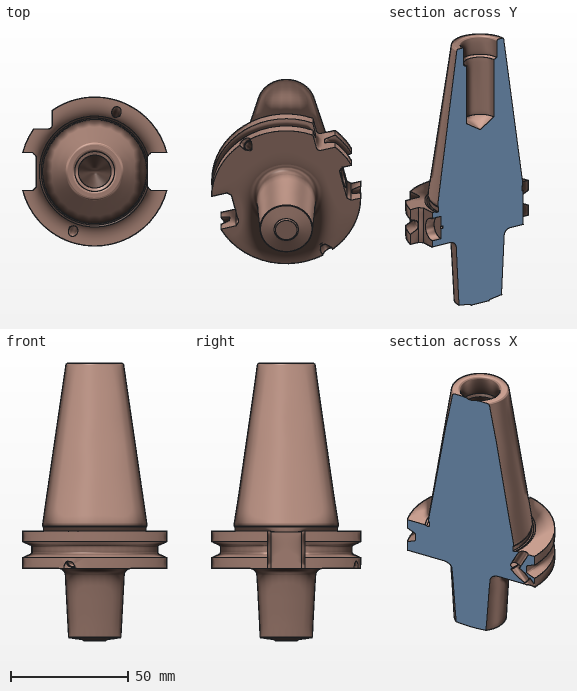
import cadquery as cq
import math


gauge_radius = 44.45 / 2
taper_length = 68.4
taper_ratio = 7 / 24
taper_end_round = 1.1
taper_end_radius = gauge_radius - taper_length * taper_ratio / 2

land_length = 1.0
neck_radius = 21.9
neck_chamfer_height = 0.5
relief_depth = 0.4
relief_slope_width = 0.85
relief_outer_radius = 23.65

flange_radius = 63.55 / 2
flange_top = -3.2
flange_bottom = -19.1
flange_height = flange_top - flange_bottom
groove_center = -11.1
groove_rim_width = 6.8
groove_floor_width = 3.4
groove_floor_radius = 28.05
groove_fillet = 0.9

nose_tip_radius = 11.2
nose_draft = 3.0
nose_fillet = 3.0
nose_edge_z = -48.4
nose_edge_chamfer = 0.25
nose_end_z = -50.0
nose_length = flange_bottom - nose_edge_z
nose_top_radius = nose_tip_radius + nose_length * math.tan(math.radians(nose_draft))
tip_rim_radius = 5.2
tip_rim_z = -49.5
tip_face_radius = 4.6

counterbore_radius = 8.5
counterbore_depth = 8.2
bore_mouth_round = 1.0
thread_bore_radius = 7.0
thread_bore_depth = 35.0
drill_point_angle = 118.0
counterbore_floor_angle = 130.0

slot_width = 16.1
left_slot_floor = 25.0
right_slot_floor = 22.5
slot_corner_chamfer = 1.5

notch_x = -18.2
notch_y = 18.2
notch_fillet = 1.6

chip_radius = 5.0
chip_depth = 4.5
chip_center_hole_radius = 0.4
chip_center_hole_depth = 1.0

channel_azimuth = 20.0
inlet_radius = 2.0
inlet_pitch_radius = 27.0
inlet_tilt = 30.0
cross_hole_radius = 2.0
plug_seat_radius = 2.5
plug_seat_reach = 3.5
cross_hole_rise = 35.0

selection_margin = 0.1
outside_clearance = 1.0


def make_turned_body():
    """Revolve the whole outer profile except the groove and the bore."""
    relief_inner_radius = relief_outer_radius - relief_slope_width
    profile = (
        cq.Workplane("XZ")
        .moveTo(0, taper_length)
        .lineTo(taper_end_radius, taper_length)
        .lineTo(gauge_radius, 0)
        .lineTo(gauge_radius, -land_length)
        .lineTo(neck_radius, -land_length - neck_chamfer_height)
        .lineTo(neck_radius, flange_top - relief_depth)
        .lineTo(relief_inner_radius, flange_top - relief_depth)
        .lineTo(relief_outer_radius, flange_top)
        .lineTo(flange_radius, flange_top)
        .lineTo(flange_radius, flange_bottom)
        .lineTo(nose_top_radius, flange_bottom)
        .lineTo(nose_tip_radius, nose_edge_z)
        .lineTo(nose_tip_radius - nose_edge_chamfer, nose_edge_z - nose_edge_chamfer)
        .lineTo(tip_rim_radius, tip_rim_z)
        .lineTo(tip_face_radius, nose_end_z)
        .lineTo(0, nose_end_z)
        .close()
    )
    body = profile.revolve(360, (0, 0, 0), (0, 1, 0))
    body = body.faces(">Z").edges().fillet(taper_end_round)
    nose_root = cq.selectors.BoxSelector(
        (-groove_floor_radius, -groove_floor_radius, flange_bottom - selection_margin),
        (groove_floor_radius, groove_floor_radius, flange_bottom + selection_margin),
        boundingbox=True,
    )
    return body.edges(nose_root).fillet(nose_fillet)


def make_gripper_groove():
    """Ring with a V section, rounded at the two floor corners."""
    half_rim = groove_rim_width / 2
    half_floor = groove_floor_width / 2
    outside_radius = flange_radius + outside_clearance
    ring = (
        cq.Workplane("XZ")
        .moveTo(outside_radius, groove_center + half_rim)
        .lineTo(flange_radius, groove_center + half_rim)
        .lineTo(groove_floor_radius, groove_center + half_floor)
        .lineTo(groove_floor_radius, groove_center - half_floor)
        .lineTo(flange_radius, groove_center - half_rim)
        .lineTo(outside_radius, groove_center - half_rim)
        .close()
        .revolve(360, (0, 0, 0), (0, 1, 0))
    )
    floor_corners = cq.selectors.RadiusNthSelector(0)
    return ring.edges("%CIRCLE").edges(floor_corners).fillet(groove_fillet)


def make_bore():
    """Stepped blind bore with a rounded mouth, a conical step and a drill point."""
    step_width = counterbore_radius - thread_bore_radius
    step_height = step_width / math.tan(math.radians(counterbore_floor_angle / 2))
    point_depth = thread_bore_radius / math.tan(math.radians(drill_point_angle / 2))
    return (
        cq.Workplane("XZ")
        .moveTo(0, taper_length)
        .lineTo(counterbore_radius + bore_mouth_round, taper_length)
        .radiusArc((counterbore_radius, taper_length - bore_mouth_round), -bore_mouth_round)
        .lineTo(counterbore_radius, taper_length - counterbore_depth)
        .lineTo(thread_bore_radius, taper_length - counterbore_depth - step_height)
        .lineTo(thread_bore_radius, taper_length - thread_bore_depth)
        .lineTo(0, taper_length - thread_bore_depth - point_depth)
        .close()
        .revolve(360, (0, 0, 0), (0, 1, 0))
    )


def make_driving_slot(side, floor_distance):
    """Slot through the full flange height; side is -1 for -X and +1 for +X."""
    length = flange_radius + outside_clearance - floor_distance
    center_x = side * (floor_distance + length / 2)
    floor_corners = "|Z and >X" if side < 0 else "|Z and <X"
    return (
        cq.Workplane("XY", origin=(center_x, 0, flange_bottom))
        .rect(length, slot_width)
        .extrude(flange_height)
        .edges(floor_corners)
        .chamfer(slot_corner_chamfer)
    )


def make_orientation_notch():
    """Square corner cut through the full flange height."""
    return (
        cq.Workplane("XY", origin=(notch_x, notch_y, flange_bottom))
        .rect(-flange_radius, flange_radius, centered=False)
        .extrude(flange_height)
        .edges("|Z and >X and <Y")
        .fillet(notch_fillet)
    )


def make_chip_pocket():
    """Flat round pocket with a small hole in the middle of its floor."""
    floor = cq.Workplane("YZ", origin=(-left_slot_floor, 0, groove_center))
    pocket = floor.circle(chip_radius).extrude(chip_depth)
    center_hole = floor.circle(chip_center_hole_radius).extrude(chip_depth + chip_center_hole_depth)
    return pocket.union(center_hole)


def make_coolant_channel():
    """Inlet and stepped cross hole in the -Y half, meeting inside the flange."""
    tilt = math.radians(inlet_tilt)
    rise = math.radians(cross_hole_rise)
    meeting_depth = (
        (inlet_pitch_radius - flange_radius + flange_height / math.tan(rise))
        / (math.tan(tilt) + 1 / math.tan(rise))
    )
    meeting_radius = inlet_pitch_radius - meeting_depth * math.tan(tilt)
    meeting_point = cq.Vector(0, -meeting_radius, flange_top - meeting_depth)

    up_inlet = cq.Vector(0, -math.sin(tilt), math.cos(tilt))
    inlet_length = meeting_depth / math.cos(tilt)
    inlet_overrun = inlet_radius * math.tan(tilt)
    inlet = cq.Solid.makeCylinder(inlet_radius, inlet_length + inlet_overrun, meeting_point, up_inlet)

    out_cross = cq.Vector(0, -math.cos(rise), -math.sin(rise))
    corner_distance = (flange_radius - meeting_radius) / math.cos(rise)
    cross_hole = cq.Solid.makeCylinder(cross_hole_radius, corner_distance, meeting_point, out_cross)
    seat_depth = plug_seat_reach / math.cos(rise)
    seat_start = meeting_point + out_cross * (corner_distance - seat_depth)
    seat_overrun = 2 * plug_seat_radius
    plug_seat = cq.Solid.makeCylinder(plug_seat_radius, seat_depth + seat_overrun, seat_start, out_cross)

    channel = cq.Workplane(inlet)
    channel = channel.union(cq.Workplane(cross_hole))
    channel = channel.union(cq.Workplane(plug_seat))
    return channel.rotate((0, 0, 0), (0, 0, 1), -channel_azimuth)


result = make_turned_body()
result = result.cut(make_gripper_groove())
result = result.cut(make_bore())
result = result.cut(make_driving_slot(-1, left_slot_floor))
result = result.cut(make_driving_slot(1, right_slot_floor))
result = result.cut(make_orientation_notch())
result = result.cut(make_chip_pocket())
for turn in (0, 180):
    channel = make_coolant_channel().rotate((0, 0, 0), (0, 0, 1), turn)
    result = result.cut(channel)